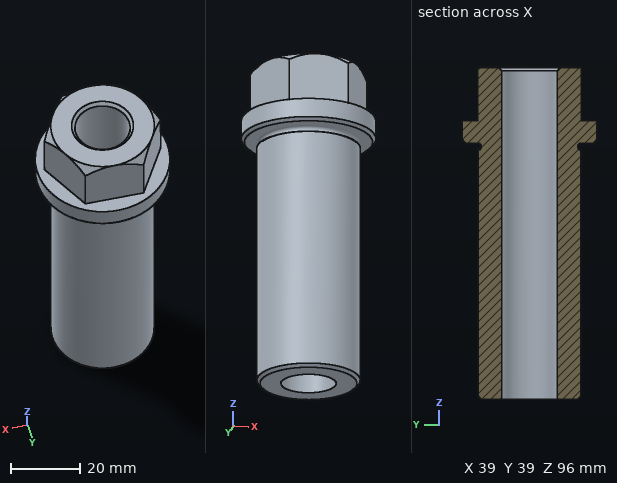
import cadquery as cq
import math

total_height = 96.0
shank_diameter = 30.0
shank_chamfer = 1.0

collar_diameter = 39.0
collar_height = 6.5
collar_chamfer = 1.0

undercut_radius = 1.0

head_height = 15.5
across_flats = 30.0
head_chamfer_angle = 45.0

bore_diameter = 15.9
bore_chamfer = 1.0

head_bottom = total_height - head_height
collar_bottom = head_bottom - collar_height
shank_top = collar_bottom - 2 * undercut_radius
across_corners = across_flats / math.cos(math.radians(30))


def make_body():
    """Turned shank, undercut and collar as one revolved profile."""
    shank_radius = shank_diameter / 2
    undercut_floor = (shank_radius - undercut_radius, shank_top + undercut_radius)
    collar_radius = collar_diameter / 2
    return (
        cq.Workplane("XZ")
        .moveTo(0, 0)
        .lineTo(shank_radius - shank_chamfer, 0)
        .lineTo(shank_radius, shank_chamfer)
        .lineTo(shank_radius, shank_top)
        .threePointArc(undercut_floor, (shank_radius, collar_bottom))
        .lineTo(collar_radius - collar_chamfer, collar_bottom)
        .lineTo(collar_radius, collar_bottom + collar_chamfer)
        .lineTo(collar_radius, head_bottom)
        .lineTo(0, head_bottom)
        .close()
        .revolve(360, (0, 0, 0), (0, 1, 0))
    )


def make_head():
    """Hexagonal prism whose top corners are trimmed by a cone."""
    hexagon = (
        cq.Workplane("XY")
        .workplane(offset=head_bottom)
        .polygon(6, across_corners)
        .extrude(head_height)
    )
    top_radius = across_flats / 2
    corner_radius = across_corners / 2
    corner_drop = (corner_radius - top_radius) * math.tan(math.radians(head_chamfer_angle))
    trimming_cone = (
        cq.Workplane("XZ")
        .moveTo(0, head_bottom)
        .lineTo(corner_radius, head_bottom)
        .lineTo(corner_radius, total_height - corner_drop)
        .lineTo(top_radius, total_height)
        .lineTo(0, total_height)
        .close()
        .revolve(360, (0, 0, 0), (0, 1, 0))
    )
    return hexagon.intersect(trimming_cone)


def make_bore():
    """Through hole with a conical countersink at the head end."""
    bore_radius = bore_diameter / 2
    return (
        cq.Workplane("XZ")
        .moveTo(0, 0)
        .lineTo(bore_radius, 0)
        .lineTo(bore_radius, total_height - bore_chamfer)
        .lineTo(bore_radius + bore_chamfer, total_height)
        .lineTo(0, total_height)
        .close()
        .revolve(360, (0, 0, 0), (0, 1, 0))
    )


result = make_body().union(make_head()).cut(make_bore())